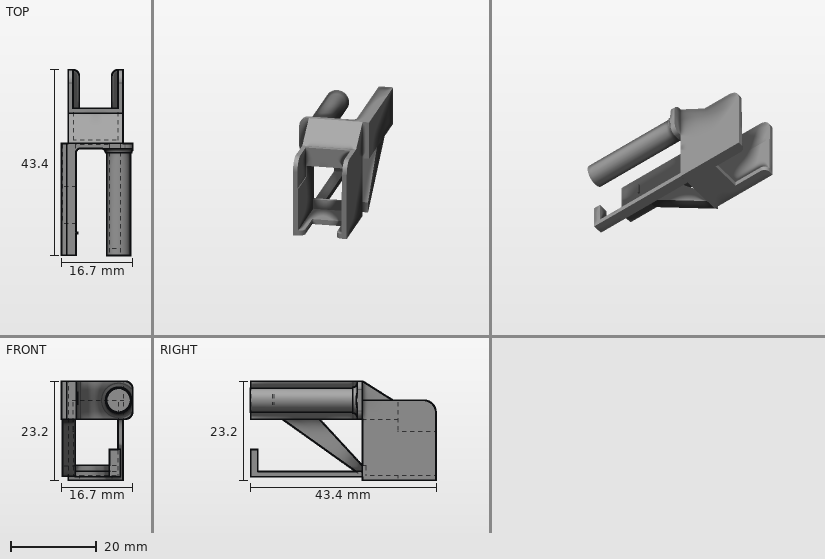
import cadquery as cq
import math


PLATE_WIDTH = 16.7
PLATE_TOP = 23.18
PLATE_BOTTOM = 14.25
PLATE_THICKNESS = 1.2
PLATE_BACK = 26.2
PLATE_FRONT = PLATE_BACK - PLATE_THICKNESS
PLATE_CORNER_RADIUS = 1.95
PLATE_MID_HEIGHT = (PLATE_TOP + PLATE_BOTTOM) / 2

STRIP_THICKNESS = 1.3
ARM_INNER = 3.45
ARM_END = 0.1
ARM_FILLET = 1.0

CATCH_DEPTH = 0.4
CATCH_LENGTH = 0.4
CATCH_HEIGHT = 2.85
CATCH_Y = 5.1
CATCH_BOTTOM = 17.75

PIN_DIAMETER = 5.6
PIN_X = 13.35
FLARE_TIP_RADIUS = 3.05
FLARE_RADIUS = 1.0

CLEVIS_LEFT = 1.55
CLEVIS_WIDTH = 12.85
CLEVIS_RIGHT = CLEVIS_LEFT + CLEVIS_WIDTH
CLEVIS_CENTER = (CLEVIS_LEFT + CLEVIS_RIGHT) / 2
CLEVIS_END = 43.4
CLEVIS_TOP = 18.75
EAR_THICKNESS = 1.2
EAR_CORNER_RADIUS = 3.0
EAR_RELIEF = 0.15
EAR_RELIEF_BOTTOM = 11.5
FLOOR_THICKNESS = EAR_THICKNESS
LIP_TOP = 3.55
LIP_THICKNESS = 0.82
BRIDGE_BACK = 34.45
SLOT_WIDTH = 7.55
SLOT_FRONT = BRIDGE_BACK
SLOT_CORNER_RADIUS = 1.5

GUSSET_LENGTH = 7.05

BRACE_LEFT = 0.25
BRACE_RIGHT = 3.3
BRACE_FOOT_BOTTOM = 0.95
BRACE_FOOT_TOP = 3.45
BRACE_HEAD_BACK = 16.25
BRACE_HEAD_FRONT = 7.55

HOOK_LEFT = 11.25
HOOK_RIGHT = 13.75
HOOK_BOTTOM = 0.82
HOOK_THICKNESS = 1.25
HOOK_TIP_TOP = 7.2
HOOK_TIP_THICKNESS = 1.7
HOOK_FOOT_DEPTH = 0.2


def block(x0, x1, y0, y1, z0, z1):
    """Box given by its limits along each axis."""
    return cq.Workplane("XY").box(x1 - x0, y1 - y0, z1 - z0, centered=False).translate((x0, y0, z0))


def side_profile(points, x0, x1):
    """Prism from a (Y, Z) outline, running from x0 to x1."""
    return cq.Workplane("YZ").workplane(offset=x0).polyline(points).close().extrude(x1 - x0)


def make_plate_and_arm():
    plate = block(STRIP_THICKNESS, PLATE_WIDTH, PLATE_FRONT, PLATE_BACK, PLATE_BOTTOM, PLATE_TOP)
    plate = plate.edges("|Y and >X").fillet(PLATE_CORNER_RADIUS)
    arm = block(STRIP_THICKNESS, ARM_INNER, ARM_END, PLATE_BACK, PLATE_BOTTOM, PLATE_TOP)
    inner_corner = cq.selectors.NearestToPointSelector((ARM_INNER, PLATE_FRONT, PLATE_MID_HEIGHT))
    body = plate.union(arm).edges(inner_corner).fillet(ARM_FILLET)
    catch = block(
        ARM_INNER, ARM_INNER + CATCH_DEPTH,
        CATCH_Y, CATCH_Y + CATCH_LENGTH,
        CATCH_BOTTOM, CATCH_BOTTOM + CATCH_HEIGHT,
    )
    return body.union(catch)


def make_pin():
    """Pin along Y with a concave flare at its root, trimmed at the plate's side."""
    pin_radius = PIN_DIAMETER / 2
    flare_root_radius = FLARE_TIP_RADIUS + FLARE_RADIUS
    flare_tip = PLATE_FRONT - FLARE_RADIUS
    arc_offset = FLARE_RADIUS * (1 - math.cos(math.pi / 4))
    pin = (
        cq.Workplane("XY")
        .moveTo(0, PLATE_BACK)
        .lineTo(0, 0)
        .lineTo(pin_radius, 0)
        .lineTo(pin_radius, flare_tip)
        .lineTo(FLARE_TIP_RADIUS, flare_tip)
        .threePointArc(
            (FLARE_TIP_RADIUS + arc_offset, PLATE_FRONT - arc_offset),
            (flare_root_radius, PLATE_FRONT),
        )
        .lineTo(pin_radius, PLATE_BACK)
        .close()
        .revolve(360, (0, 0), (0, 1))
        .translate((PIN_X, 0, PLATE_MID_HEIGHT))
    )
    return pin.intersect(block(0, PLATE_WIDTH, 0, PLATE_BACK, PLATE_BOTTOM, PLATE_TOP))


def make_clevis():
    clevis = block(CLEVIS_LEFT, CLEVIS_RIGHT, PLATE_BACK, CLEVIS_END, 0, CLEVIS_TOP)
    clevis = clevis.edges("|X and >Y and >Z").fillet(EAR_CORNER_RADIUS)
    inner_left = CLEVIS_LEFT + EAR_THICKNESS
    inner_right = CLEVIS_RIGHT - EAR_THICKNESS
    clevis = clevis.cut(
        block(inner_left, inner_right, BRIDGE_BACK, CLEVIS_END, FLOOR_THICKNESS, CLEVIS_TOP)
    )
    clevis = clevis.cut(
        block(inner_left, inner_right, PLATE_BACK, BRIDGE_BACK, FLOOR_THICKNESS, PLATE_BOTTOM)
    )
    lip = block(inner_left, inner_right, PLATE_BACK, PLATE_BACK + LIP_THICKNESS, 0, LIP_TOP)
    clevis = clevis.union(lip)
    clevis = clevis.cut(
        block(
            inner_left - EAR_RELIEF, inner_right + EAR_RELIEF,
            BRIDGE_BACK, CLEVIS_END, EAR_RELIEF_BOTTOM, CLEVIS_TOP,
        )
    )
    slot_left = CLEVIS_CENTER - SLOT_WIDTH / 2
    slot_right = CLEVIS_CENTER + SLOT_WIDTH / 2
    clevis = clevis.cut(block(slot_left, slot_right, SLOT_FRONT, CLEVIS_END, 0, FLOOR_THICKNESS))
    for x in (slot_left, slot_right):
        mouth = cq.selectors.NearestToPointSelector((x, CLEVIS_END, FLOOR_THICKNESS / 2))
        clevis = clevis.edges(mouth).fillet(SLOT_CORNER_RADIUS)
    return clevis


def make_brace():
    outline = [
        (PLATE_BACK, BRACE_FOOT_BOTTOM),
        (PLATE_BACK, BRACE_FOOT_TOP),
        (BRACE_HEAD_BACK, PLATE_BOTTOM),
        (BRACE_HEAD_FRONT, PLATE_BOTTOM),
    ]
    return side_profile(outline, BRACE_LEFT, BRACE_RIGHT)


def make_hook():
    bar_top = HOOK_BOTTOM + HOOK_THICKNESS
    bar = block(HOOK_LEFT, HOOK_RIGHT, ARM_END, PLATE_BACK, HOOK_BOTTOM, bar_top)
    tip = block(HOOK_LEFT, HOOK_RIGHT, ARM_END, ARM_END + HOOK_TIP_THICKNESS, HOOK_BOTTOM, HOOK_TIP_TOP)
    foot = block(BRACE_RIGHT, HOOK_RIGHT, PLATE_BACK - HOOK_FOOT_DEPTH, PLATE_BACK, HOOK_BOTTOM, bar_top)
    return bar.union(tip).union(foot)


def make_bracket():
    bracket = make_plate_and_arm()
    for feature in (make_pin(), make_clevis(), make_brace(), make_hook()):
        bracket = bracket.union(feature)
    return bracket


def make_strip():
    return block(0, STRIP_THICKNESS, ARM_END, PLATE_BACK, PLATE_BOTTOM, PLATE_TOP)


def make_gusset():
    outline = [
        (PLATE_BACK, CLEVIS_TOP),
        (PLATE_BACK + GUSSET_LENGTH, CLEVIS_TOP),
        (PLATE_BACK, PLATE_TOP),
    ]
    return side_profile(outline, CLEVIS_LEFT, CLEVIS_RIGHT)


bracket = make_bracket()
strip = make_strip()
gusset = make_gusset()

result = cq.Compound.makeCompound([bracket.val(), strip.val(), gusset.val()])